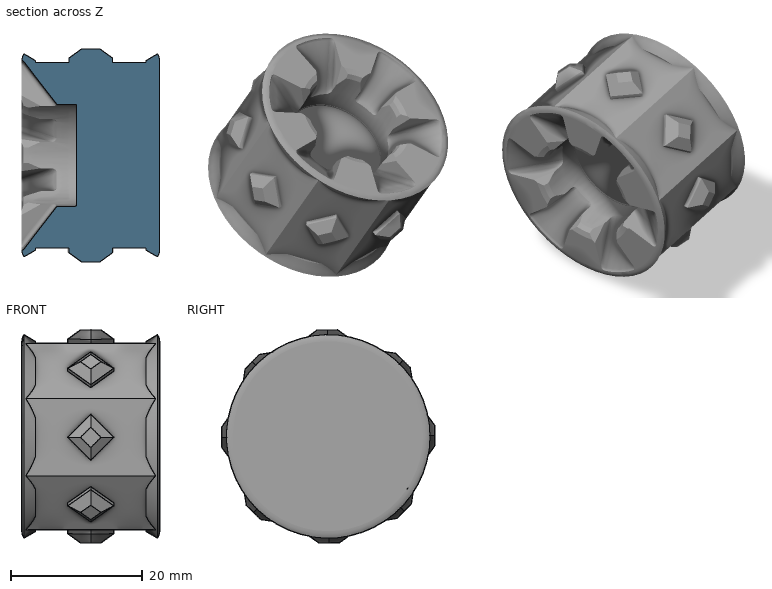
import cadquery as cq
import math

width = 21.05
face_x = -width / 2

tread_sides = 8
tread_turn = 0.5
tread_apothem = 14.18
tread_corner_radius = tread_apothem / math.cos(math.pi / tread_sides)

flange_length = 2.1
flange_root_radius = 14.47
rim_radius = 15.5
rim_face_radius = 14.47
rim_rounding_depth = 0.35
rim_rounding_drop = rim_radius - rim_face_radius
rim_rounding_radius = (rim_rounding_drop**2 + rim_rounding_depth**2) / (2 * rim_rounding_depth)

stud_shoulder_radius = 14.83
stud_root_radius = 13
stud_base_diagonal = 7.02
stud_top_diagonal = 3.12
outer_radius = 16.25
turn_radians = math.radians(tread_turn)
stud_top_radius = (outer_radius - stud_top_diagonal / 2 * math.sin(turn_radians)) / math.cos(turn_radians)

bore_radius = 15.5 / 2
bore_depth = 8.33
ledge_width = 0.05
ledge_height = 0.2
mouth_radius = 8.95
mouth_middle_radius = 8.1
mouth_middle_depth = 0.33
mouth_depth = 1.07

recess_count = 6
recess_pitch = 360 / recess_count
recess_angle = recess_pitch / 2
recess_rim_depth = 0.15
recess_bore_depth = 5.33
recess_fillet = 0.6
recess_inner_radius = 4.88

facet_outer_radius = 9.43
facet_depth = 2.93
facet_tip_half_width = 1.95
cutter_clearance = 2.6


def octagon_tread():
    """Octagonal prism reaching into the flared flanges."""
    length = width - 2 * rim_rounding_depth
    return (
        cq.Workplane("YZ")
        .polygon(tread_sides, 2 * tread_corner_radius)
        .extrude(length / 2, both=True)
        .rotate((0, 0, 0), (1, 0, 0), 180 / tread_sides + tread_turn)
    )


def flange():
    """Flared disc with a rounded lip at the decorated end."""
    tip_x = face_x + rim_rounding_depth
    mid_angle = math.asin(rim_rounding_drop / rim_rounding_radius) / 2
    mid_x = face_x + rim_rounding_radius * (1 - math.cos(mid_angle))
    mid_radius = rim_face_radius + rim_rounding_radius * math.sin(mid_angle)
    root_x = face_x + flange_length
    return (
        cq.Workplane("XY")
        .moveTo(root_x, 0)
        .lineTo(root_x, flange_root_radius)
        .lineTo(tip_x, rim_radius)
        .threePointArc((mid_x, mid_radius), (face_x, rim_face_radius))
        .lineTo(face_x, 0)
        .close()
        .revolve(360, (0, 0, 0), (1, 0, 0))
    )


def square_section(diagonal, height):
    """Workplane with a square, corners along X and Y, at the given height."""
    return cq.Workplane("XY", origin=(0, 0, height)).polygon(4, diagonal)


def stud():
    """Square stud pointing along +Z with a tapered top."""
    base_height = stud_shoulder_radius - stud_root_radius
    base = square_section(stud_base_diagonal, stud_root_radius).extrude(base_height)
    taper = (
        square_section(stud_base_diagonal, stud_shoulder_radius)
        .workplane(offset=stud_top_radius - stud_shoulder_radius)
        .polygon(4, stud_top_diagonal)
        .loft(ruled=True)
    )
    return base.union(taper)


def bore():
    """Cutter for the blind bore with its flared mouth and floor ledge."""
    floor_x = face_x + bore_depth
    profile = [
        (face_x, 0),
        (face_x, mouth_radius),
        (face_x + mouth_middle_depth, mouth_middle_radius),
        (face_x + mouth_depth, bore_radius),
        (floor_x - ledge_height, bore_radius),
        (floor_x - ledge_height, bore_radius - ledge_width),
        (floor_x, bore_radius - ledge_width),
        (floor_x, 0),
    ]
    return cq.Workplane("XY").polyline(profile).close().revolve(360, (0, 0, 0), (1, 0, 0))


def centred_wedge(profile, angle):
    """Revolve an (x, radius) profile into a wedge of the given angle, centred on +Z."""
    return (
        cq.Workplane("XZ")
        .polyline(profile)
        .close()
        .revolve(angle, (0, 0, 0), (1, 0, 0))
        .rotate((0, 0, 0), (1, 0, 0), -angle / 2)
    )


def recess():
    """Cutter for one recess: a conical floor rounded into its side and rim walls."""
    slope = (recess_bore_depth - recess_rim_depth) / (rim_face_radius - bore_radius)
    inner_depth = recess_bore_depth + slope * (bore_radius - recess_inner_radius)
    outside_x = face_x - cutter_clearance
    profile = [
        (outside_x, recess_inner_radius),
        (outside_x, rim_face_radius),
        (face_x + recess_rim_depth, rim_face_radius),
        (face_x + inner_depth, recess_inner_radius),
    ]
    wedge = centred_wedge(profile, recess_angle)
    outer_edges = wedge.edges("not (<X or >X or <Z)")
    return outer_edges.fillet(recess_fillet)


def tooth_facet():
    """Cutter for the facet on the +Y inner corner of the tooth centred on +Z."""
    half_angle = math.radians(recess_angle / 2)
    side_y = math.sin(half_angle)
    side_z = math.cos(half_angle)
    outer = cq.Vector(face_x, facet_outer_radius * side_y, facet_outer_radius * side_z)
    deep = cq.Vector(face_x + facet_depth, bore_radius * side_y, bore_radius * side_z)
    tip = cq.Vector(face_x, facet_tip_half_width, math.sqrt(mouth_radius**2 - facet_tip_half_width**2))
    towards_bore = (tip - outer).cross(deep - outer)
    if towards_bore.z > 0:
        towards_bore = towards_bore * -1
    block = (
        cq.Workplane(cq.Plane(outer, tip - outer, towards_bore))
        .rect(4 * facet_outer_radius, 4 * facet_outer_radius)
        .extrude(cutter_clearance)
    )
    outside_x = face_x - cutter_clearance
    tooth_profile = [
        (outside_x, recess_inner_radius),
        (outside_x, rim_face_radius),
        (face_x + facet_depth, rim_face_radius),
        (face_x + facet_depth, recess_inner_radius),
    ]
    return block.intersect(centred_wedge(tooth_profile, recess_angle))


near_flange = flange()
wheel = octagon_tread().union(near_flange).union(near_flange.mirror("YZ"))

for i in range(tread_sides):
    wheel = wheel.union(stud().rotate((0, 0, 0), (1, 0, 0), i * 360 / tread_sides + tread_turn))

wheel = wheel.cut(bore())

facet = tooth_facet()
for i in range(recess_count):
    tooth_turn = i * recess_pitch
    for cutter in (facet, facet.mirror("XZ")):
        wheel = wheel.cut(cutter.rotate((0, 0, 0), (1, 0, 0), tooth_turn))
    wheel = wheel.cut(recess().rotate((0, 0, 0), (1, 0, 0), tooth_turn + recess_angle))

result = wheel